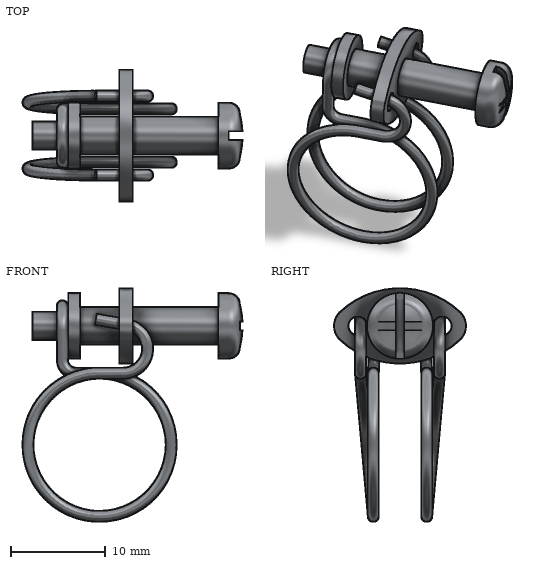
import cadquery as cq
import math


shank_radius = 2.0
tip_radius = 1.51
collar_radius = 3.5
tip_end_x = -7.12
collar_x = -3.35
collar_thickness = 1.3
head_x = 12.6
head_rim_thickness = 1.1
head_round = 1.2
dome_height = 0.3
slot_width = 0.92

plate_x = 2.05
plate_thickness = 1.46
plate_half_width = 7.005
plate_half_height = 4.005
plate_end_radius = 2.0
wire_hole_radius = 1.0
wire_hole_y = 4.46

wire_radius = 0.6
ring_radius = 7.6
ring_top_z = -5.0
inner_y = 2.83
outer_y = 4.2
hook_start_x = 2.5
hook_radius = 2.58
hook_tail_angle = 10.0
hook_tail_length = 3.4
saddle_radius = 2.6
saddle_clearance = 0.012
bend_radius = 1.41

rim_x = head_x + head_rim_thickness
dome_x = rim_x + head_round
dome_radius = collar_radius - head_round
head_end_x = dome_x + dome_height


def make_screw():
    """Collared screw with a domed head, a full-width slot and a shallow crossing notch."""
    diagonal = math.sqrt(0.5)
    round_mid = (rim_x + head_round * diagonal, dome_radius + head_round * diagonal)
    dome_sphere = (dome_radius**2 + dome_height**2) / (2 * dome_height)
    half_dome = dome_radius / 2
    dome_mid = (head_end_x - dome_sphere + math.sqrt(dome_sphere**2 - half_dome**2), half_dome)
    screw = (
        cq.Workplane("XY")
        .moveTo(tip_end_x, 0)
        .lineTo(tip_end_x, tip_radius)
        .lineTo(collar_x, tip_radius)
        .lineTo(collar_x, collar_radius)
        .lineTo(collar_x + collar_thickness, collar_radius)
        .lineTo(collar_x + collar_thickness, shank_radius)
        .lineTo(head_x, shank_radius)
        .lineTo(head_x, collar_radius)
        .lineTo(rim_x, collar_radius)
        .threePointArc(round_mid, (dome_x, dome_radius))
        .threePointArc(dome_mid, (head_end_x, 0))
        .close()
        .revolve(360, (0, 0, 0), (1, 0, 0))
    )
    head_width = 2 * collar_radius
    in_x = (False, True, True)
    slot = cq.Workplane("XY").box(head_end_x - rim_x, slot_width, head_width, centered=in_x)
    notch = cq.Workplane("XY").box(dome_height, head_width, slot_width, centered=in_x)
    return screw.cut(slot.translate((rim_x, 0, 0))).cut(notch.translate((dome_x, 0, 0)))


def make_plate():
    """Lens-shaped plate: two large arcs tangent to two rounded ends."""
    end_y = plate_half_width - plate_end_radius
    side_radius = (end_y**2 + plate_half_height**2 - plate_end_radius**2) / (
        2 * (plate_half_height - plate_end_radius)
    )
    side_drop = side_radius - plate_half_height
    tangent_angle = math.atan2(side_drop, end_y)
    tangent_y = end_y + plate_end_radius * math.cos(tangent_angle)
    tangent_z = plate_end_radius * math.sin(tangent_angle)
    return (
        cq.Workplane("YZ", origin=(plate_x, 0, 0))
        .moveTo(-tangent_y, tangent_z)
        .threePointArc((0, plate_half_height), (tangent_y, tangent_z))
        .threePointArc((plate_half_width, 0), (tangent_y, -tangent_z))
        .threePointArc((0, -plate_half_height), (-tangent_y, -tangent_z))
        .threePointArc((-plate_half_width, 0), (-tangent_y, tangent_z))
        .close()
        .extrude(plate_thickness)
        .faces("<X")
        .workplane(origin=(plate_x, 0, 0))
        .circle(shank_radius)
        .pushPoints([(-wire_hole_y, 0), (wire_hole_y, 0)])
        .circle(wire_hole_radius)
        .cutThruAll()
    )


def hook_edges():
    """Free end of the wire: tail through the plate, hook arc and the straight run to the ring."""
    center_z = ring_top_z + hook_radius
    tail = math.radians(hook_tail_angle)
    hook_end = cq.Vector(
        hook_start_x + hook_radius * math.sin(tail), outer_y, center_z + hook_radius * math.cos(tail)
    )
    tail_direction = cq.Vector(-math.cos(tail), 0, math.sin(tail))
    hook_mid = cq.Vector(
        hook_start_x + hook_radius * math.cos(tail / 2), outer_y, center_z - hook_radius * math.sin(tail / 2)
    )
    hook_start = cq.Vector(hook_start_x, outer_y, ring_top_z)
    return [
        cq.Edge.makeLine(hook_end + tail_direction * hook_tail_length, hook_end),
        cq.Edge.makeThreePointArc(hook_end, hook_mid, hook_start),
        cq.Edge.makeLine(hook_start, cq.Vector(0, outer_y, ring_top_z)),
    ]


def ring_edges():
    """One turn: a leaning half from the outer to the inner plane, then an upright half."""
    center_z = ring_top_z - ring_radius
    bottom = cq.Vector(0, inner_y, center_z - ring_radius)
    side = cq.Vector(ring_radius, inner_y, center_z)
    top = cq.Vector(0, inner_y, ring_top_z)
    lean = outer_y - inner_y
    leaning_half = cq.Edge.makeEllipse(
        math.hypot(ring_radius, lean / 2),
        ring_radius,
        pnt=cq.Vector(0, (inner_y + outer_y) / 2, center_z),
        dir=cq.Vector(0, -2 * ring_radius, lean),
        xdir=cq.Vector(0, lean, 2 * ring_radius),
        angle1=0,
        angle2=180,
    )
    return [leaning_half, cq.Edge.makeThreePointArc(bottom, side, top)]


def saddle_edges():
    """Inner run, bend, slightly splayed leg, and half of the saddle arc over the screw tip."""
    leg_x = collar_x - wire_radius
    saddle_top_z = tip_radius + wire_radius + saddle_clearance
    saddle_z = saddle_top_z - saddle_radius
    depth = saddle_z - ring_top_z
    splay = math.acos(saddle_radius / math.hypot(inner_y, depth)) - math.atan2(depth, inner_y)
    leg_up = cq.Vector(0, -math.sin(splay), math.cos(splay))
    corner = cq.Vector(leg_x, inner_y, ring_top_z)
    forward = cq.Vector(1, 0, 0)
    bend_center = corner + (leg_up + forward) * bend_radius
    bend_mid = bend_center - (leg_up + forward) * (bend_radius * math.sqrt(0.5))
    bend_start = corner + forward * bend_radius
    bend_end = corner + leg_up * bend_radius

    def saddle_point(angle):
        y = saddle_radius * math.cos(angle)
        z = saddle_z + saddle_radius * math.sin(angle)
        return cq.Vector(leg_x, y, z)

    leg_end = saddle_point(splay)
    saddle_mid = saddle_point((splay + math.pi / 2) / 2)
    saddle_top = saddle_point(math.pi / 2)
    return [
        cq.Edge.makeLine(cq.Vector(0, inner_y, ring_top_z), bend_start),
        cq.Edge.makeThreePointArc(bend_start, bend_mid, bend_end),
        cq.Edge.makeLine(bend_end, leg_end),
        cq.Edge.makeThreePointArc(leg_end, saddle_mid, saddle_top),
    ]


def make_wire():
    """Single bent wire, symmetric about the XZ plane; half is swept and mirrored."""
    path = cq.Wire.assembleEdges(hook_edges() + ring_edges() + saddle_edges())
    section = cq.Plane(path.startPoint(), normal=path.tangentAt(0))
    half = cq.Workplane(section).circle(wire_radius).sweep(cq.Workplane(path))
    return half.union(half.mirror("XZ"))


screw = make_screw()
plate = make_plate()
wire = make_wire()
result = cq.Compound.makeCompound([screw.val(), plate.val(), *wire.solids().vals()])